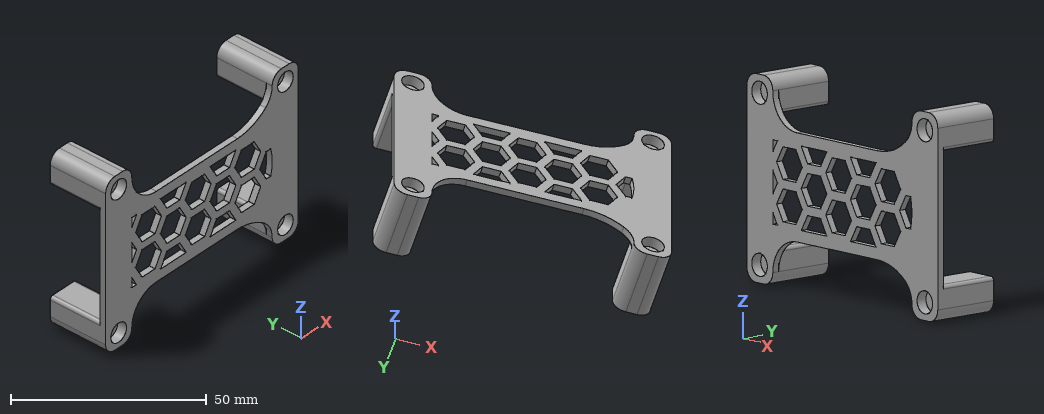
import cadquery as cq
import math

LENGTH = 74.0
DEPTH = 19.0
PLATE_THICKNESS = 2.0
SIDE_HEIGHT = 54.4
SIDE_SHIFT = 0.075

POST_WIDTH = 10.1
POST_HEIGHT = 9.75
OUTER_RADIUS = 3.55
INNER_RADIUS = 1.0

WAIST_HALF_HEIGHT = 14.2
LEFT_BLEND_RADIUS = 9.4
RIGHT_BLEND_LENGTH = 13.3
SHALLOW_RADIUS = 16.7

HOLE_DIAMETER = 6.0
HOLE_DEPTH = 3.0
HOLE_FROM_SIDE = 5.0
HOLE_FROM_END = 4.8

WINDOW_HALF_HEIGHT = 10.97
WINDOW_END_RADIUS = 18.0
CELL_PITCH = 11.0
CELL_FLATS = 8.5
CELL_COLUMNS = 7
LATTICE_CENTER_X = -1.45

HALF_LENGTH = LENGTH / 2
HALF_SIDE = SIDE_HEIGHT / 2
NECK_X = HALF_LENGTH - POST_WIDTH

ENDS = [(-1, SIDE_SHIFT), (1, -SIDE_SHIFT)]
UP_DOWN = [1, -1]


def extrude_back(sketch, length):
    """Extrude an XZ-plane sketch from the plate face toward +Y."""
    return sketch.extrude(-length)


def box(x_min, x_max, z_min, z_max, length):
    sketch = cq.Workplane("XZ").center((x_min + x_max) / 2, (z_min + z_max) / 2)
    return extrude_back(sketch.rect(x_max - x_min, z_max - z_min), length)


def end_with_posts(x_dir, shift):
    """Rounded upright end of the plate with its two posts, open between them behind the plate."""
    x = x_dir * (HALF_LENGTH - POST_WIDTH / 2)
    gap_bottom = shift - HALF_SIDE + POST_HEIGHT
    gap_top = shift + HALF_SIDE - POST_HEIGHT
    x_min = x - POST_WIDTH / 2
    x_max = x + POST_WIDTH / 2

    block = box(x_min, x_max, shift - HALF_SIDE, shift + HALF_SIDE, DEPTH)
    block = block.edges("|Y").fillet(OUTER_RADIUS)
    posts = block.cut(box(x_min, x_max, gap_bottom, gap_top, DEPTH))
    around_gap = cq.selectors.BoxSelector(
        (x - POST_WIDTH, -DEPTH, gap_bottom - INNER_RADIUS),
        (x + POST_WIDTH, DEPTH, gap_top + INNER_RADIUS),
    )
    posts = posts.edges("|Y").edges(around_gap).fillet(INNER_RADIUS)
    plate_slab = box(-LENGTH, LENGTH, -LENGTH, LENGTH, PLATE_THICKNESS)
    return posts.union(block.intersect(plate_slab))


def waist():
    """Plate between the ends: straight waist with concave blends at its four corners."""
    return waist_half(1).union(waist_half(-1))


def waist_half(z_dir):
    """Half of the waist above (+1) or below (-1) the middle."""
    waist_z = z_dir * WAIST_HALF_HEIGHT
    left_end_z = z_dir * (HALF_SIDE - OUTER_RADIUS) + SIDE_SHIFT
    right_end_z = z_dir * (HALF_SIDE - OUTER_RADIUS) - SIDE_SHIFT

    left_start = (-NECK_X + LEFT_BLEND_RADIUS, waist_z)
    right_start_x = NECK_X - RIGHT_BLEND_LENGTH

    rise = abs(right_end_z) - WAIST_HALF_HEIGHT
    reach = RIGHT_BLEND_LENGTH
    center_gap = SHALLOW_RADIUS - rise
    steep_radius = (SHALLOW_RADIUS**2 - reach**2 - center_gap**2) / (2 * (SHALLOW_RADIUS - reach))
    angle = math.atan2(reach - steep_radius, center_gap)
    joint = (
        right_start_x + SHALLOW_RADIUS * math.sin(angle),
        waist_z + z_dir * SHALLOW_RADIUS * (1 - math.cos(angle)),
    )
    sketch = (
        cq.Workplane("XZ")
        .moveTo(-NECK_X, 0)
        .lineTo(-NECK_X, left_end_z)
        .radiusArc(left_start, -z_dir * LEFT_BLEND_RADIUS)
        .lineTo(right_start_x, waist_z)
        .tangentArcPoint(joint, relative=False)
        .tangentArcPoint((NECK_X, right_end_z), relative=False)
        .lineTo(NECK_X, 0)
        .close()
    )
    return extrude_back(sketch, PLATE_THICKNESS)


def window():
    """Area in which the honeycomb is cut; its right end is bowed."""
    drop = WINDOW_END_RADIUS - math.sqrt(WINDOW_END_RADIUS**2 - WINDOW_HALF_HEIGHT**2)
    sketch = (
        cq.Workplane("XZ")
        .moveTo(-NECK_X, -WINDOW_HALF_HEIGHT)
        .lineTo(NECK_X - drop, -WINDOW_HALF_HEIGHT)
        .threePointArc((NECK_X, 0), (NECK_X - drop, WINDOW_HALF_HEIGHT))
        .lineTo(-NECK_X, WINDOW_HALF_HEIGHT)
        .close()
    )
    return extrude_back(sketch, PLATE_THICKNESS)


def honeycomb():
    """Hexagonal openings, clipped to the window."""
    column_pitch = CELL_PITCH * math.cos(math.pi / 6)
    corner_diameter = CELL_FLATS / math.cos(math.pi / 6)
    centers = []
    for column in range(CELL_COLUMNS):
        x = LATTICE_CENTER_X + (column - CELL_COLUMNS // 2) * column_pitch
        if column == CELL_COLUMNS - 1:
            rows = [0]
        elif column % 2 == 0:
            rows = [-1, 0, 1]
        else:
            rows = [-0.5, 0.5]
        centers += [(x, row * CELL_PITCH) for row in rows]
    cells = extrude_back(
        cq.Workplane("XZ").pushPoints(centers).polygon(6, corner_diameter), PLATE_THICKNESS
    )
    return cells.intersect(window())


def holes():
    """Blind round holes entering each post from the plate face."""
    centers = []
    for x_dir, shift in ENDS:
        for z_dir in UP_DOWN:
            x = x_dir * (HALF_LENGTH - HOLE_FROM_SIDE)
            centers.append((x, z_dir * (HALF_SIDE - HOLE_FROM_END) + shift))
    sketch = cq.Workplane("XZ").pushPoints(centers).circle(HOLE_DIAMETER / 2)
    return extrude_back(sketch, HOLE_DEPTH)


result = waist()
for x_dir, shift in ENDS:
    result = result.union(end_with_posts(x_dir, shift))
result = result.cut(honeycomb()).cut(holes())